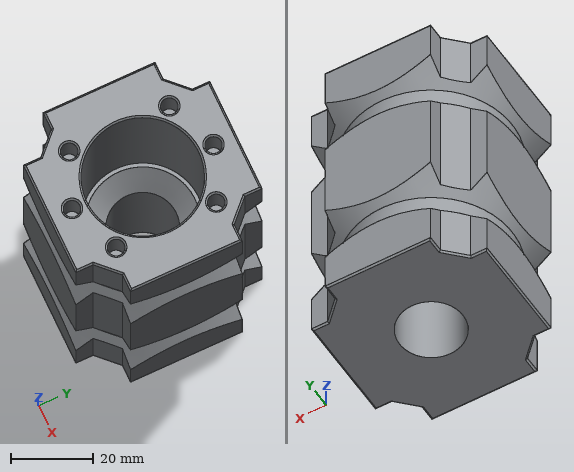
import cadquery as cq

height = 80.0
width = 50.0
flat_width = 30.0
half_height = height / 2
half_width = width / 2
half_flat = flat_width / 2
corner_reach = half_width * 2**0.5 - half_flat
edge_chamfer = 0.5

groove_diameter = 46.0
groove_width = 5.0
groove_offset = height / 4

bore_diameter = 30.0
bore_depth = height / 2
funnel_diameter = 28.0
passage_diameter = 18.0
funnel_depth = (funnel_diameter - passage_diameter) / 2

hole_diameter = 4.2
hole_depth = 10.0
pilot_diameter = 0.9
pilot_depth = 1.0
hole_circle_diameter = 38.0
hole_angles = (45, 90, 135, 225, 270, 315)


def turn(profile):
    """Solid of revolution about the Z axis from (radius, z) points."""
    return cq.Workplane("XZ").polyline(profile).close().revolve(360, (0, 0, 0), (0, 1, 0))


def make_body():
    """Bar with stepped, diagonal corners and chamfered ends."""
    corner_points = [
        (half_width, half_flat),
        (corner_reach, half_flat),
        (half_flat, corner_reach),
        (half_flat, half_width),
    ]
    outline = []
    for _ in range(4):
        outline += corner_points
        corner_points = [(-y, x) for x, y in corner_points]
    bar = cq.Workplane("XY").workplane(offset=-half_height).polyline(outline).close().extrude(height)
    return bar.faces("<Z or >Z").edges().chamfer(edge_chamfer)


def make_groove(center_z):
    """Ring cutter: inner side on the groove floor, 45 degree flanks running out past the corners."""
    floor_radius = groove_diameter / 2
    outer_radius = width
    flank = outer_radius - floor_radius
    half_floor = groove_width / 2
    profile = [
        (floor_radius, center_z - half_floor),
        (outer_radius, center_z - half_floor - flank),
        (outer_radius, center_z + half_floor + flank),
        (floor_radius, center_z + half_floor),
    ]
    return turn(profile)


def make_bore():
    """Chamfered bore, seat, funnel and through passage as one turned cutter."""
    bore_radius = bore_diameter / 2
    passage_radius = passage_diameter / 2
    seat_z = half_height - bore_depth
    profile = [
        (0, half_height),
        (bore_radius + edge_chamfer, half_height),
        (bore_radius, half_height - edge_chamfer),
        (bore_radius, seat_z),
        (funnel_diameter / 2, seat_z),
        (passage_radius, seat_z - funnel_depth),
        (passage_radius, -half_height),
        (0, -half_height),
    ]
    return turn(profile)


def make_screw_hole(angle):
    """Chamfered flat-bottomed hole with its pilot hole, placed on the hole circle."""
    hole_radius = hole_diameter / 2
    pilot_radius = pilot_diameter / 2
    profile = [
        (0, 0),
        (hole_radius + edge_chamfer, 0),
        (hole_radius, -edge_chamfer),
        (hole_radius, -hole_depth),
        (pilot_radius, -hole_depth),
        (pilot_radius, -hole_depth - pilot_depth),
        (0, -hole_depth - pilot_depth),
    ]
    hole = turn(profile)
    hole = hole.translate((hole_circle_diameter / 2, 0, half_height))
    return hole.rotate((0, 0, 0), (0, 0, 1), angle)


result = make_body()
for groove_z in (-groove_offset, groove_offset):
    result = result.cut(make_groove(groove_z))
result = result.cut(make_bore())
for hole_angle in hole_angles:
    result = result.cut(make_screw_hole(hole_angle))